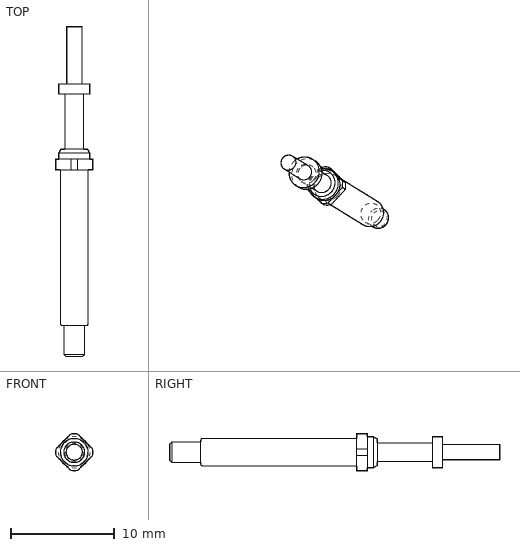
import cadquery as cq

total_length = 31.8
flange_diameter = 3.6

plunger_diameter = 2.0
plunger_length = 3.0
plunger_tip_chamfer = 0.22

barrel_diameter = 2.67
barrel_length = 15.0
barrel_end_rounding = 0.2

flange_length = 1.05
flange_across_flats = 2.95

shoulder_diameter = 3.02
shoulder_length = 0.95
shoulder_chamfer_depth = 0.22
shoulder_chamfer_length = 0.38

neck_diameter = 1.8
collar_diameter = shoulder_diameter
collar_length = 1.0
pin_diameter = 1.5
pin_length = 5.5

plunger_tip_y = -barrel_length - plunger_length
pin_end_y = plunger_tip_y + total_length
collar_end_y = pin_end_y - pin_length
neck_end_y = collar_end_y - collar_length
shoulder_end_y = flange_length + shoulder_length


def make_turned_body():
    """Revolve the stepped half profile about the Y axis."""
    plunger_radius = plunger_diameter / 2
    barrel_radius = barrel_diameter / 2
    shoulder_radius = shoulder_diameter / 2
    neck_radius = neck_diameter / 2
    collar_radius = collar_diameter / 2
    pin_radius = pin_diameter / 2
    rounding = barrel_end_rounding
    return (
        cq.Workplane("XY")
        .moveTo(0, plunger_tip_y)
        .lineTo(plunger_radius - plunger_tip_chamfer, plunger_tip_y)
        .lineTo(plunger_radius, plunger_tip_y + plunger_tip_chamfer)
        .lineTo(plunger_radius, -barrel_length)
        .lineTo(barrel_radius - rounding, -barrel_length)
        .radiusArc((barrel_radius, -barrel_length + rounding), -rounding)
        .lineTo(barrel_radius, flange_length)
        .lineTo(shoulder_radius, flange_length)
        .lineTo(shoulder_radius, shoulder_end_y - shoulder_chamfer_length)
        .lineTo(shoulder_radius - shoulder_chamfer_depth, shoulder_end_y)
        .lineTo(neck_radius, shoulder_end_y)
        .lineTo(neck_radius, neck_end_y)
        .lineTo(collar_radius, neck_end_y)
        .lineTo(collar_radius, collar_end_y)
        .lineTo(pin_radius, collar_end_y)
        .lineTo(pin_radius, pin_end_y)
        .lineTo(0, pin_end_y)
        .close()
        .revolve(360, (0, 0, 0), (0, 1, 0))
    )


def make_flange():
    """Square plate standing on its corner, with the corners turned round."""
    disc = cq.Workplane("XZ").circle(flange_diameter / 2).extrude(-flange_length)
    square = (
        cq.Workplane("XZ")
        .transformed(rotate=(0, 0, 45))
        .rect(flange_across_flats, flange_across_flats)
        .extrude(-flange_length)
    )
    return disc.intersect(square)


result = make_turned_body().union(make_flange())